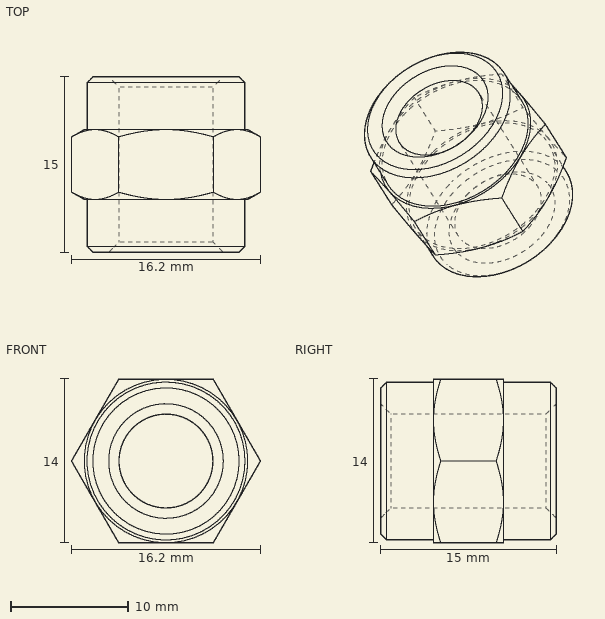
import cadquery as cq
import math

across_corners = 16.17
across_flats = across_corners * math.cos(math.radians(30))
total_length = 15.0
hex_length = 6.0
hex_chamfer_angle = 30.0
flat_clearance = 0.02
cone_overrun = 0.16
barrel_diameter = 13.5
barrel_chamfer = 0.5
bore_diameter = 8.0
countersink_diameter = 9.8

half_length = total_length / 2
half_hex = hex_length / 2
corner_radius = across_corners / 2
face_radius = across_flats / 2 - flat_clearance
barrel_radius = barrel_diameter / 2
bore_radius = bore_diameter / 2
countersink_radius = countersink_diameter / 2
countersink_depth = countersink_radius - bore_radius


def revolve_about_y(points):
    """Revolve a closed (radius, axial position) profile about the Y axis."""
    return cq.Workplane("XY").polyline(points).close().revolve(360, (0, 0, 0), (0, 1, 0))


def make_hexagon():
    """Hexagon with corners on X and both end faces chamfered by a cone."""
    prism = cq.Workplane("XZ").polygon(6, across_corners).extrude(half_hex, both=True)
    outer_radius = corner_radius + cone_overrun
    chamfer_depth = (outer_radius - face_radius) * math.tan(math.radians(hex_chamfer_angle))
    envelope = revolve_about_y([
        (0, -half_hex),
        (face_radius, -half_hex),
        (outer_radius, chamfer_depth - half_hex),
        (outer_radius, half_hex - chamfer_depth),
        (face_radius, half_hex),
        (0, half_hex),
    ])
    return prism.intersect(envelope)


def make_barrel():
    """Full-length cylinder with chamfered ends."""
    barrel = cq.Workplane("XZ").circle(barrel_radius).extrude(half_length, both=True)
    return barrel.faces("<Y or >Y").edges().chamfer(barrel_chamfer)


def make_bore():
    """Through bore with a conical flare at each end."""
    return revolve_about_y([
        (0, -half_length),
        (countersink_radius, -half_length),
        (bore_radius, countersink_depth - half_length),
        (bore_radius, half_length - countersink_depth),
        (countersink_radius, half_length),
        (0, half_length),
    ])


result = make_hexagon().union(make_barrel()).cut(make_bore())